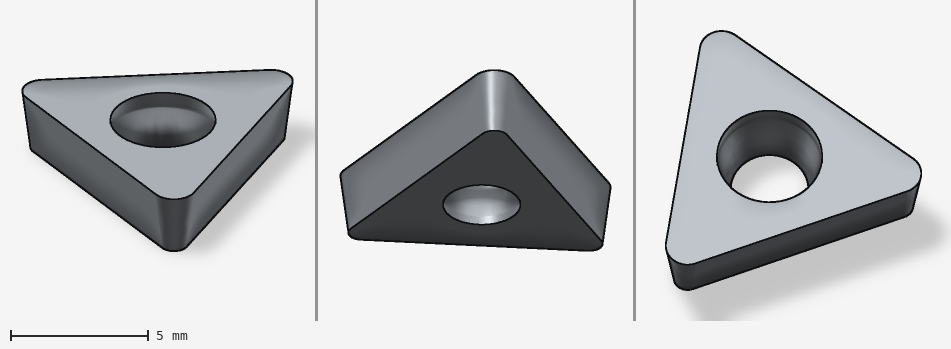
import cadquery as cq
import math

overall_width = 9.84
thickness = 2.38
nose_radius = 0.8
relief_angle = 7.0

bore_radius = 2.8 / 2
mouth_radius = 1.91
seat_radius = 2.26
seat_bottom_depth = 2.04
blend_radius = 0.25

nose_spacing = overall_width - 2 * nose_radius
inscribed_radius = nose_spacing / (2 * math.sqrt(3)) + nose_radius
corner_distance = 2 * inscribed_radius


def make_body():
    """Rounded triangle narrowing downward at the relief angle."""
    corners = []
    for degrees in (90, 210, 330):
        angle = math.radians(degrees)
        corners.append((corner_distance * math.cos(angle), corner_distance * math.sin(angle)))
    triangle = cq.Sketch().polygon(corners + corners[:1]).vertices().fillet(nose_radius)
    return cq.Workplane("XY").placeSketch(triangle).extrude(-thickness, taper=relief_angle)


def make_hole():
    """Revolved cutter: straight mouth, concave blend, convex seat, straight bore."""
    seat_x = bore_radius + seat_radius
    seat_z = -seat_bottom_depth
    blend_x = mouth_radius - blend_radius
    center_distance = seat_radius + blend_radius
    join_angle = math.acos((seat_x - blend_x) / center_distance)
    blend_z = seat_z + center_distance * math.sin(join_angle)

    def on_seat(angle):
        return (seat_x - seat_radius * math.cos(angle), seat_z + seat_radius * math.sin(angle))

    def on_blend(angle):
        return (blend_x + blend_radius * math.cos(angle), blend_z - blend_radius * math.sin(angle))

    profile = (
        cq.Workplane("XZ")
        .moveTo(0, 0)
        .lineTo(mouth_radius, 0)
        .lineTo(mouth_radius, blend_z)
        .threePointArc(on_blend(join_angle / 2), on_blend(join_angle))
        .threePointArc(on_seat(join_angle / 2), on_seat(0))
        .lineTo(bore_radius, -thickness)
        .lineTo(0, -thickness)
        .close()
    )
    return profile.revolve(360, (0, 0, 0), (0, 1, 0))


result = make_body().cut(make_hole())